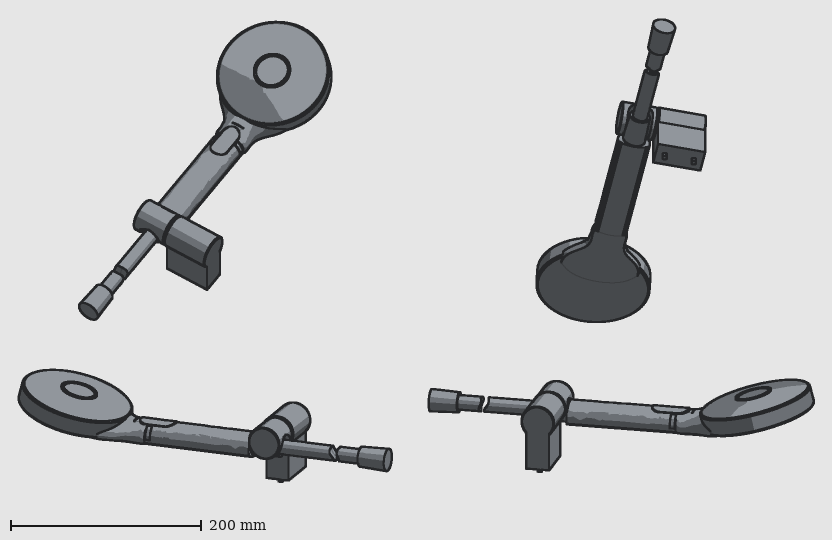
import cadquery as cq
import math


hose_axis_z = -8.2
hose_radius = 8.0
nut_small_radius = 10.5
nut_large_radius = 12.0
nut_length = 30.0

arm_radius = 17.5
arm_end_x = 70.0
arm_start_x = 19.5
clamp_radius = 17.3
clamp_start_x = -19.8
clamp_end_x = 18.0
joint_radius = 16.5
end_chamfer = 1.0
slot_radius = 13.0
block_depth = 24.5
block_bottom_z = -52.0
pin_radius = 2.5
pin_length = 5.0
pin_spacing = 31.3

handle_start_y = clamp_radius + 1.0
handle_end_y = 136.0
handle_half_width = 17.3
handle_top_z = 3.5
handle_bottom_z = -22.0
groove_depth = 0.6
handle_seam_z = -17.3
seam_to_widest = 5.5
groove_height = 1.2
clip_start_y = 129.5
clip_length = 5.5
clip_top_z = 0.5
clip_bottom_z = -13.0

button_start_y = 106.5
button_end_y = 146.5
button_width = 19.5
button_rise = 0.6
tab_width = 13.0
tab_end_y = 151.5
tab_depth = 1.0

neck_sections = [
    (handle_end_y, handle_half_width, handle_top_z, handle_seam_z, handle_bottom_z),
    (150.0, 19.0, 3.0, -17.3, -22.2),
    (161.5, 24.0, 5.0, -15.5, -21.5),
    (173.0, 36.2, 8.0, -12.8, -19.5),
    (185.0, 43.5, 9.5, -10.0, -17.3),
    (201.5, 43.5, 12.5, -5.8, -12.8),
    (222.2, 35.0, 17.5, -1.5, -7.0),
]

head_tilt = 15
head_center_y = 217.3
head_center_z = 20.5
head_radius = 59.5
rim_height = 18.0
rim_chamfer = 1.5
face_radius = 56.8
face_rise = 7.0
back_radius = 58.0
back_drop = 8.5
back_chamfer_height = 1.5
ring_outer_radius = 19.5
ring_inner_radius = 17.0
ring_depth = 0.6

overall_length = 411.5
tilt_angle = math.radians(head_tilt)
head_far_y = head_center_y + head_radius * math.cos(tilt_angle) + rim_height * math.sin(tilt_angle)
hose_end_y = head_far_y - overall_length


def grip_section(y, half_width, top_z, seam_z, bottom_z, inset=0.0):
    """Section across Y: an elliptic top that meets a shallow bottom arc at the two seams.

    The inset draws the section in all round.
    """
    widest_z = seam_z + seam_to_widest
    width_radius = half_width - inset
    height_radius = top_z - widest_z - inset
    seam_angle = math.degrees(math.asin(seam_to_widest / height_radius))
    seam_x = width_radius * math.cos(math.radians(seam_angle))
    return (
        cq.Workplane("XZ", origin=(0, y, 0))
        .center(0, widest_z)
        .moveTo(seam_x, -seam_to_widest)
        .ellipseArc(width_radius, height_radius, -seam_angle, 180 + seam_angle, startAtCurrent=True)
        .threePointArc((0, bottom_z + inset - widest_z), (seam_x, -seam_to_widest))
        .close()
    )


def box_between(x_range, y_range, z_range):
    """Box given by its two limits along each axis."""
    size = [high - low for low, high in (x_range, y_range, z_range)]
    corner = (x_range[0], y_range[0], z_range[0])
    return cq.Workplane().box(*size, centered=False).translate(corner)



def make_head():
    """Tilted disc with a domed face, a domed back and a ring groove in the face."""
    back_edge = rim_height + back_chamfer_height
    face_arc_radius = (face_radius**2 + face_rise**2) / (2 * face_rise)
    back_arc_radius = (back_radius**2 + back_drop**2) / (2 * back_drop)

    def face_height(radius):
        return face_rise - face_arc_radius + math.sqrt(face_arc_radius**2 - radius**2)

    def back_height(radius):
        return back_arc_radius - back_drop - back_edge - math.sqrt(back_arc_radius**2 - radius**2)

    disc = (
        cq.Workplane("XZ")
        .moveTo(0, face_rise)
        .threePointArc((face_radius / 2, face_height(face_radius / 2)), (face_radius, 0))
        .lineTo(head_radius - rim_chamfer, 0)
        .lineTo(head_radius, -rim_chamfer)
        .lineTo(head_radius, -rim_height)
        .lineTo(back_radius, -back_edge)
        .threePointArc((back_radius / 2, back_height(back_radius / 2)), (0, -back_edge - back_drop))
        .close()
        .revolve(360, (0, 0, 0), (0, 1, 0))
    )
    ring = (
        cq.Workplane("XY", origin=(0, 0, face_height(ring_outer_radius) - ring_depth))
        .circle(ring_outer_radius)
        .circle(ring_inner_radius)
        .extrude(face_rise)
    )
    head = disc.cut(ring)
    return head.rotate((0, 0, 0), (1, 0, 0), head_tilt).translate((0, head_center_y, head_center_z))


def make_neck():
    """Smooth transition from the handle section into the head."""
    wires = [grip_section(*section).val() for section in neck_sections]
    return cq.Workplane(cq.Solid.makeLoft(wires))


def make_handle_bar(start_y, end_y, inset=0.0):
    """Straight length of the handle."""
    section = grip_section(
        start_y, handle_half_width, handle_top_z, handle_seam_z, handle_bottom_z, inset
    )
    return section.extrude(start_y - end_y)


def make_handle():
    """Handle bar with a seam groove and a clip recess along each side."""
    bar = make_handle_bar(handle_start_y, handle_end_y)
    core = make_handle_bar(handle_start_y, handle_end_y, groove_depth)
    skin = bar.cut(core)
    full_width = (-handle_half_width, handle_half_width)
    seam_zone = box_between(
        full_width,
        (handle_start_y, handle_end_y),
        (handle_seam_z - groove_height, handle_seam_z),
    )
    clip_zone = box_between(
        full_width,
        (clip_start_y, clip_start_y + clip_length),
        (clip_bottom_z, clip_top_z),
    )
    for zone in (seam_zone, clip_zone):
        bar = bar.cut(skin.intersect(zone))
    return bar


def make_button():
    """Oblong button whose top follows the handle, slightly raised."""
    length = button_end_y - button_start_y
    outline = (
        cq.Workplane("XY", origin=(0, (button_start_y + button_end_y) / 2, hose_axis_z))
        .slot2D(length, button_width, 90)
        .extrude(handle_top_z + button_rise - hose_axis_z)
    )
    raised_bar = make_handle_bar(button_start_y, button_end_y, -button_rise)
    return outline.intersect(raised_bar)


def make_shower():
    tab = box_between(
        (-tab_width / 2, tab_width / 2),
        (button_end_y - button_width / 2, tab_end_y),
        (handle_top_z - 2 * tab_depth, handle_top_z + tab_depth),
    )
    body = make_handle().union(make_neck()).union(make_head())
    return body.cut(tab).union(make_button())



def make_cylinder_x(start_x, end_x, radius):
    """Cylinder lying along the clamp axis."""
    return cq.Workplane("YZ", origin=(start_x, 0, 0)).circle(radius).extrude(end_x - start_x)


def make_clamp():
    """Cylinder with an arched slot, open below, around the hose nut."""
    cylinder = make_cylinder_x(clamp_start_x, clamp_end_x, clamp_radius)
    arch = (
        cq.Workplane("XZ", origin=(0, 0, hose_axis_z))
        .circle(slot_radius)
        .extrude(clamp_radius, both=True)
    )
    opening = box_between(
        (-slot_radius, slot_radius), (-clamp_radius, clamp_radius), (-clamp_radius, hose_axis_z)
    )
    return cylinder.faces("<X or >X").chamfer(end_chamfer).cut(arch).cut(opening)


def make_holder():
    joint = make_cylinder_x(clamp_end_x - end_chamfer, arm_start_x + end_chamfer, joint_radius)
    arm = make_cylinder_x(arm_start_x, arm_end_x, arm_radius).faces("<X or >X").chamfer(end_chamfer)
    block = box_between(
        (arm_start_x, arm_end_x), (-block_depth / 2, block_depth / 2), (block_bottom_z, 0)
    )
    pins = (
        cq.Workplane("XY", origin=((arm_start_x + arm_end_x) / 2, 0, block_bottom_z))
        .rarray(pin_spacing, 4, 2, 1)
        .circle(pin_radius)
        .extrude(-pin_length)
    )
    return make_clamp().union(joint).union(arm).union(block).union(pins)



def make_hose_piece(nut_face_y, torn_edge):
    """Conical nut, wide at its free face, and a hose stub that ends at the torn edge.

    The torn edge lists (y, height above the hose axis) from top to bottom.
    """
    middle_torn_y = torn_edge[len(torn_edge) // 2][0]
    direction = math.copysign(1, middle_torn_y - nut_face_y)
    hose_start_y = nut_face_y + direction * nut_length
    nut = (
        cq.Workplane("XY")
        .moveTo(0, nut_face_y)
        .lineTo(nut_large_radius, nut_face_y)
        .lineTo(nut_small_radius, hose_start_y)
        .lineTo(0, hose_start_y)
        .close()
        .revolve(360, (0, 0, 0), (0, 1, 0))
    )
    reach = abs(middle_torn_y - hose_start_y) + hose_radius
    stub = cq.Workplane("XZ", origin=(0, hose_start_y, 0)).circle(hose_radius).extrude(-direction * reach)
    keep = (
        cq.Workplane("YZ")
        .moveTo(hose_start_y, hose_radius)
        .lineTo(*torn_edge[0])
        .spline(torn_edge[1:], includeCurrent=True)
        .lineTo(hose_start_y, -hose_radius)
        .close()
        .extrude(hose_radius, both=True)
    )
    return nut.union(stub.intersect(keep)).translate((0, 0, hose_axis_z))


upper_torn_edge = [
    (-69.5, hose_radius),
    (-69.5, 1.5),
    (-72.5, -2.5),
    (-73.2, -hose_radius),
]
lower_torn_edge = [
    (-78.0, hose_radius),
    (-77.0, 2.5),
    (-79.0, -3.3),
    (-77.8, -hose_radius),
]

shower = make_shower()
holder = make_holder()
upper_hose = make_hose_piece(handle_start_y, upper_torn_edge)
lower_hose = make_hose_piece(hose_end_y, lower_torn_edge)

result = cq.Compound.makeCompound(
    [shower.val(), holder.val(), upper_hose.val(), lower_hose.val()]
)